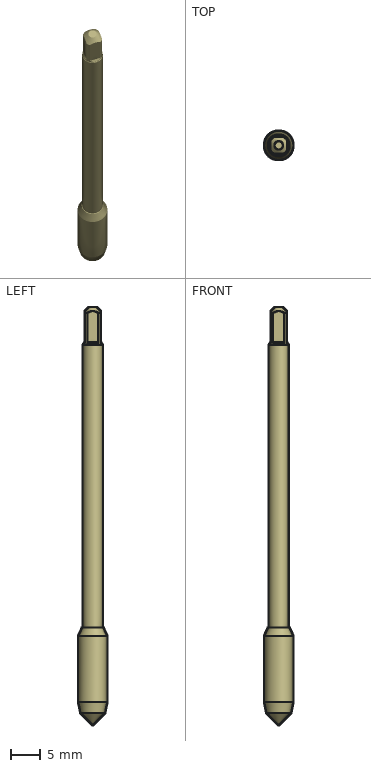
import cadquery as cq

total_length = 71.8

collar_diameter = 5.1
point_diameter = 4.3
point_height = point_diameter / 2
tip_height = 4.1

collar_top = 15.4
shoulder_diameter = 3.7
shoulder_top = 16.9
rod_diameter = 3.5
rod_top = 65.3
rod_chamfer_height = 0.1
drive_diameter = 3.4
drive_across_flats = 2.8
flat_count = 4
flats_bottom = 65.8
ramp_height = 0.5
ramp_run = 0.4
end_chamfer_height = 1.0
end_face_diameter = 1.45


def revolve_profile(points):
    """Revolve a (radius, height) outline about the Z axis."""
    return cq.Workplane("XZ").polyline(points).close().revolve(360, (0, 0, 0), (0, 1, 0))


def make_tip():
    return revolve_profile([
        (0, 0),
        (point_diameter / 2, point_height),
        (collar_diameter / 2, tip_height),
        (0, tip_height),
    ])


def make_flat_cutter():
    """Material in front of one drive flat, with a sloped run-out at its foot."""
    flat = drive_across_flats / 2
    outside = collar_diameter / 2
    ramp_slope = ramp_height / ramp_run
    outer_foot = flats_bottom - (outside - flat) * ramp_slope
    return (
        cq.Workplane("XZ")
        .polyline([
            (flat, flats_bottom),
            (flat, total_length),
            (outside, total_length),
            (outside, outer_foot),
        ])
        .close()
        .extrude(outside, both=True)
    )


def make_shank():
    shank = revolve_profile([
        (0, tip_height),
        (collar_diameter / 2, tip_height),
        (collar_diameter / 2, collar_top),
        (shoulder_diameter / 2, shoulder_top),
        (rod_diameter / 2, shoulder_top),
        (rod_diameter / 2, rod_top),
        (drive_diameter / 2, rod_top + rod_chamfer_height),
        (drive_diameter / 2, total_length - end_chamfer_height),
        (end_face_diameter / 2, total_length),
        (0, total_length),
    ])
    for index in range(flat_count):
        shank = shank.cut(make_flat_cutter().rotate((0, 0, 0), (0, 0, 1), index * 360 / flat_count))
    return shank


tip = make_tip()
shank = make_shank()

result = cq.Compound.makeCompound([tip.val(), shank.val()])